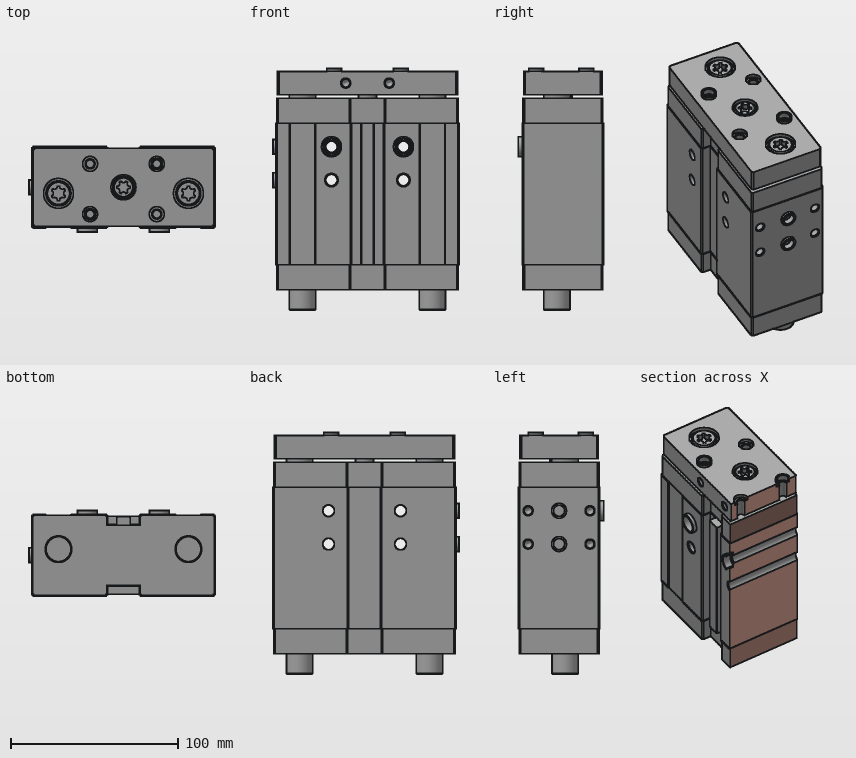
import cadquery as cq
import math


rod_protrusion = 12.0
cap_height = 15.0
profile_height = 84.9
yoke_gap = 2.0
yoke_height = 14.0
profile_bottom = rod_protrusion + cap_height
profile_top = profile_bottom + profile_height
cap_top = profile_top + cap_height
yoke_bottom = cap_top + yoke_gap
yoke_top = yoke_bottom + yoke_height

profile_width = 110.0
profile_depth = 49.0
cap_inset = 0.5
cap_width = profile_width - 2 * cap_inset
cap_depth = profile_depth - 2 * cap_inset
yoke_width = 108.0
yoke_depth = 46.9
corner_chamfer = 1.0

groove_half_width = 9.5
groove_depth = 6.0
groove_chamfer = 0.9
rib_width = 8.1
rib_height = 4.5
rib_chamfer = 0.5

guide_diameter = 16.0
guide_x = 39.0
guide_y = -3.6
guide_end_chamfer = 0.5
piston_diameter = 11.0

channel_center = guide_x
channel_width = 15.6
channel_depth = cap_inset

head_drop = 0.5
head_recess_depth = 2.5
head_edge_chamfer = 0.9
guide_recess_diameter = 18.0
guide_head_diameter = 15.0
guide_socket_diameter = 8.8
piston_recess_diameter = 15.0
piston_head_diameter = 13.0
piston_socket_diameter = 8.0
socket_root_ratio = 0.7
socket_depth = 3.6
lobe_count = 6
lobe_pitch = 360 / lobe_count
lobe_half_angle = 9.0
guide_socket_turn = 90.0
piston_socket_turn = 0.0

large_core = 6.8
large_mouth = 8.0
small_core = 4.9
small_mouth = 6.0
blind_depth = 12.0
drill_tip_angle = 118.0

small_sleeve_outer = 9.0
small_sleeve_inner = 6.7
small_sleeve_protrusion = 1.7
small_sleeve_seat = 2.2
large_sleeve_outer = 12.0
large_sleeve_inner = 10.0
large_sleeve_protrusion = 2.3
large_sleeve_seat = 2.8

upper_row_drop = 14.0
upper_row_z = profile_top - upper_row_drop
row_pitch = 20.0
lower_row_z = upper_row_z - row_pitch
front_hole_x = 21.6
side_hole_y = 18.5
yoke_hole_x = 20.0
yoke_hole_y = 15.0
yoke_hole_shift = -1.0
yoke_front_hole_x = 13.0

UP = (0, 0, 1)
FRONT = (0, -1, 0)
LEFT = (-1, 0, 0)


def plane_at(point, outward):
    """Plane at a point of a face, with its normal pointing out of the material."""
    return cq.Plane(origin=point, normal=outward)


def cylinder(point, outward, diameter, below, above=0.0):
    """Cylinder along the outward direction, from a depth below a point to a height above it."""
    plane = plane_at(point, outward)
    return cq.Workplane(plane).workplane(offset=-below).circle(diameter / 2).extrude(below + above)


def mouth_cone(point, outward, core, mouth):
    """45 degree countersink from the mouth diameter down to the core diameter."""
    drop = (mouth - core) / 2
    profile = cq.Workplane("XZ").polyline([(0, 0), (mouth / 2, 0), (core / 2, -drop), (0, -drop)]).close()
    cone = profile.revolve(360, (0, 0, 0), (0, 1, 0)).val()
    return cq.Workplane(cone.moved(plane_at(point, outward).location))


def blind_hole(point, outward):
    """Small threaded hole with a countersunk mouth and a drill-point bottom."""
    radius = small_core / 2
    drop = (small_mouth - small_core) / 2
    tip = radius / math.tan(math.radians(drill_tip_angle / 2))
    outline = [
        (0, 0),
        (small_mouth / 2, 0),
        (radius, -drop),
        (radius, -blind_depth),
        (0, -blind_depth - tip),
    ]
    hole = cq.Workplane("XZ").polyline(outline).close().revolve(360, (0, 0, 0), (0, 1, 0)).val()
    return cq.Workplane(hole.moved(plane_at(point, outward).location))


def through_hole(point, outward, core, mouth, length):
    """Threaded through hole with a countersunk mouth."""
    return cylinder(point, outward, core, length).union(mouth_cone(point, outward, core, mouth))


def block(width, depth, bottom, height):
    """Upright block centred on the Z axis, with chamfered vertical edges."""
    base = cq.Workplane("XY").workplane(offset=bottom)
    return base.rect(width, depth).extrude(height).edges("|Z").chamfer(corner_chamfer)


def groove_cutter(half_width, face_y, bottom, height):
    """Middle groove for the front, with chamfered mouth edges."""
    outer = half_width + groove_chamfer
    floor_y = face_y - groove_depth
    outline = [
        (-half_width, -floor_y),
        (-half_width, -face_y + groove_chamfer),
        (-outer, -face_y),
        (outer, -face_y),
        (half_width, -face_y + groove_chamfer),
        (half_width, -floor_y),
    ]
    return cq.Workplane("XY").workplane(offset=bottom).polyline(outline).close().extrude(height)


def cut_grooves(body, half_width, face_y, bottom, height):
    """Cut the front groove and its mirror image in the back."""
    front = groove_cutter(half_width, face_y, bottom, height)
    return body.cut(front).cut(front.mirror("XZ"))


def guide_bores(bottom, height):
    """Cylinders on both guide rod axes, used for the rods and for their bores."""
    bores = cq.Workplane("XY").workplane(offset=bottom)
    bores = bores.pushPoints([(-guide_x, guide_y), (guide_x, guide_y)])
    return bores.circle(guide_diameter / 2).extrude(height)


yoke_front_row_y = yoke_hole_shift - yoke_hole_y
yoke_back_row_y = yoke_hole_shift + yoke_hole_y
yoke_rows = (yoke_front_row_y, yoke_back_row_y)
yoke_holes = [(x, y, yoke_top) for x in (-yoke_hole_x, yoke_hole_x) for y in yoke_rows]
yoke_sleeve_points = [(-yoke_hole_x, yoke_front_row_y, yoke_top), (yoke_hole_x, yoke_back_row_y, yoke_top)]
side_sleeve_points = [(-profile_width / 2, 0, z) for z in (lower_row_z, upper_row_z)]
front_sleeve_points = [(x, -profile_depth / 2, upper_row_z) for x in (-front_hole_x, front_hole_x)]


def make_profile():
    """Middle of the housing: grooves, rib, channels and mounting holes."""
    face_y = profile_depth / 2
    body = block(profile_width, profile_depth, profile_bottom, profile_height)
    body = cut_grooves(body, groove_half_width, face_y, profile_bottom, profile_height)

    base = cq.Workplane("XY").workplane(offset=profile_bottom)
    rib_y = groove_depth - face_y - rib_height / 2
    rib = base.center(0, rib_y).rect(rib_width, rib_height).extrude(profile_height)
    rib = rib.faces("<Y").edges("|Z").chamfer(rib_chamfer)
    body = body.union(rib)

    for x in (-channel_center, channel_center):
        outline = [
            (x - channel_width / 2, -face_y),
            (x - channel_width / 2 + channel_depth, -face_y + channel_depth),
            (x + channel_width / 2 - channel_depth, -face_y + channel_depth),
            (x + channel_width / 2, -face_y),
        ]
        body = body.cut(base.polyline(outline).close().extrude(profile_height))

    for x, y, z in front_sleeve_points:
        floor = (x, y + large_sleeve_seat, z)
        body = body.cut(cylinder((x, y, z), FRONT, large_sleeve_outer, large_sleeve_seat))
        body = body.cut(through_hole(floor, FRONT, large_core, large_mouth, profile_depth))
        lower = (x, y, lower_row_z)
        body = body.cut(through_hole(lower, FRONT, large_core, large_mouth, profile_depth))

    for x, y, z in side_sleeve_points:
        body = body.cut(cylinder((x, y, z), LEFT, small_sleeve_outer, small_sleeve_seat))
        for hole_y in (-side_hole_y, side_hole_y):
            body = body.cut(blind_hole((x, hole_y, z), LEFT))

    return body.cut(guide_bores(profile_bottom, profile_height))


def make_cap(bottom):
    """End cap with the same grooves, set in all around."""
    body = block(cap_width, cap_depth, bottom, cap_height)
    body = cut_grooves(body, groove_half_width + cap_inset, cap_depth / 2, bottom, cap_height)
    return body.cut(guide_bores(bottom, cap_height))


def make_socket(point, diameter, first_lobe_angle):
    """Six-lobed screw socket, with round lobe tips and hollow flanks."""
    tip = diameter / 2
    root = tip * socket_root_ratio

    def polar(radius, angle):
        turn = math.radians(angle)
        return (radius * math.cos(turn), radius * math.sin(turn))

    outline = cq.Workplane(plane_at(point, UP)).moveTo(*polar(tip, first_lobe_angle - lobe_half_angle))
    for lobe in range(lobe_count):
        angle = first_lobe_angle + lobe * lobe_pitch
        outline = outline.threePointArc(polar(tip, angle), polar(tip, angle + lobe_half_angle))
        next_lobe_start = polar(tip, angle + lobe_pitch - lobe_half_angle)
        outline = outline.threePointArc(polar(root, angle + lobe_pitch / 2), next_lobe_start)
    return outline.close().extrude(-socket_depth)


def add_screw_head(body, x, y, recess, head, socket, first_lobe_angle):
    """Recess in the yoke plate with the head of a screw standing in it."""
    head_top = yoke_top - head_drop
    head_height = head_recess_depth - head_drop
    body = body.cut(cylinder((x, y, yoke_top), UP, recess, head_recess_depth))
    screw_head = cylinder((x, y, head_top), UP, head, head_height)
    screw_head = screw_head.faces(">Z").chamfer(head_edge_chamfer)
    return body.union(screw_head).cut(make_socket((x, y, head_top), socket, first_lobe_angle))


def make_yoke():
    """Moving unit: yoke plate with guide rods, piston rod and screw heads."""
    body = block(yoke_width, yoke_depth, yoke_bottom, yoke_height)

    rods = guide_bores(0, yoke_bottom).faces("<Z").chamfer(guide_end_chamfer)
    piston = cylinder((0, 0, yoke_bottom), UP, piston_diameter, yoke_bottom - profile_top)
    body = body.union(rods).union(piston)

    guide_screw = (guide_recess_diameter, guide_head_diameter, guide_socket_diameter, guide_socket_turn)
    for x in (-guide_x, guide_x):
        body = add_screw_head(body, x, guide_y, *guide_screw)
    piston_screw = (piston_recess_diameter, piston_head_diameter, piston_socket_diameter, piston_socket_turn)
    body = add_screw_head(body, 0, 0, *piston_screw)

    for x, y, z in yoke_holes:
        floor = (x, y, z - small_sleeve_seat)
        body = body.cut(cylinder((x, y, z), UP, small_sleeve_outer, small_sleeve_seat))
        body = body.cut(through_hole(floor, UP, small_core, small_mouth, yoke_height))

    for x in (-yoke_front_hole_x, yoke_front_hole_x):
        body = body.cut(blind_hole((x, -yoke_depth / 2, yoke_bottom + yoke_height / 2), FRONT))
    return body


def make_sleeve(point, outward, outer, inner, seat, protrusion):
    """Centring sleeve seated in a face and standing out of it."""
    sleeve = cylinder(point, outward, outer, seat, protrusion)
    return sleeve.cut(cylinder(point, outward, inner, seat, protrusion))


profile = make_profile()
lower_cap = make_cap(rod_protrusion)
upper_cap = make_cap(profile_top).cut(cylinder((0, 0, cap_top), UP, piston_diameter, cap_height))
yoke = make_yoke()

small_sleeve_sizes = (small_sleeve_outer, small_sleeve_inner, small_sleeve_seat, small_sleeve_protrusion)
large_sleeve_sizes = (large_sleeve_outer, large_sleeve_inner, large_sleeve_seat, large_sleeve_protrusion)
sleeves = [make_sleeve(point, UP, *small_sleeve_sizes) for point in yoke_sleeve_points]
sleeves += [make_sleeve(point, LEFT, *small_sleeve_sizes) for point in side_sleeve_points]
sleeves += [make_sleeve(point, FRONT, *large_sleeve_sizes) for point in front_sleeve_points]

bodies = [profile, lower_cap, upper_cap, yoke, *sleeves]
result = cq.Compound.makeCompound([body.val() for body in bodies])